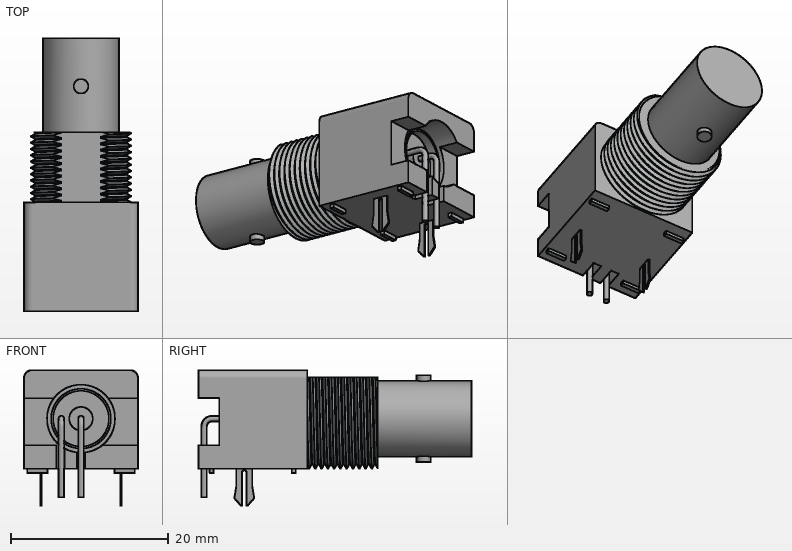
import cadquery as cq


total_length = 34.73
front_y = total_length / 2
rear_y = -total_length / 2

barrel_diameter = 9.7
barrel_length = 11.95
stud_diameter = 1.85
stud_span = 11.05
stud_setback = 6.1

thread_major_diameter = 12.75
thread_minor_diameter = 11.67
thread_pitch = 0.8
thread_base_width = 0.73
thread_crest_width = 0.05
thread_overlap = 0.07
neck_flat_z = 5.28

housing_width = 14.5
housing_length = 13.85
housing_top_z = 6.18
housing_bottom_z = -6.4
housing_edge_radius = 1.05
notch_depth = 2.65
notch_top_z = 2.6
notch_bottom_z = -3.37

cavity_diameter = 8.65
cavity_floor_y = -13.2
sleeve_outer_diameter = 7.6
sleeve_inner_diameter = 7.1
sleeve_end_y = -14.45
insulator_diameter = 3.0
insulator_end_y = -14.03

pin_diameter = 0.73
pin_spacing = 2.5
pin_bend_radius = 1.0
pin_rear_offset = 0.73
pin_bottom_z = -10.0
pin_embed = 0.35

pin_slot_width = 1.1
side_slot_x = -2.6

foot_length_x = 2.6
foot_width_y = 0.55
foot_height = 0.52
foot_center_x = 5.55
foot_rear_offset = 1.65
foot_pitch_y = 10.45
foot_bevel_height = 0.2
foot_bevel_depth = 0.052

lock_x = 5.07
lock_thickness = 0.2
lock_rear_offset = 5.85
lock_stem_width = 2.05
lock_barb_width = 2.5
lock_slot_width = 0.55
lock_tip_width = 0.87
lock_slot_top_z = -6.55
lock_flare_z = -8.55
lock_barb_top_z = -9.95
lock_barb_bottom_z = -10.15
lock_bottom_z = -11.05

neck_front_y = front_y - barrel_length
housing_front_y = rear_y + housing_length
neck_length = neck_front_y - housing_front_y
notch_floor_y = rear_y + notch_depth


def cylinder_along_y(diameter, start_y, end_y):
    """Cylinder on the jack axis between two Y positions."""
    base = cq.Workplane("XZ", origin=(0, start_y, 0))
    return base.circle(diameter / 2).extrude(start_y - end_y)


def box_between(x_range, y_range, z_range):
    """Box spanning the given (low, high) ranges."""
    size = [high - low for low, high in (x_range, y_range, z_range)]
    return cq.Workplane().box(*size, centered=False).translate((x_range[0], y_range[0], z_range[0]))


def make_barrel():
    barrel = cylinder_along_y(barrel_diameter, neck_front_y, front_y)
    studs = (
        cq.Workplane("XY", origin=(0, front_y - stud_setback, 0))
        .circle(stud_diameter / 2)
        .extrude(stud_span / 2, both=True)
    )
    return barrel.union(studs)


def make_thread_ridge():
    """Helical ridge along Y, running one pitch past both ends of the neck."""
    base_radius = thread_minor_diameter / 2 - thread_overlap
    crest_radius = thread_major_diameter / 2
    path = cq.Wire.makeHelix(thread_pitch, neck_length + 2 * thread_pitch, base_radius)
    ridge = (
        cq.Workplane("XZ")
        .moveTo(base_radius, -thread_base_width / 2)
        .lineTo(crest_radius, -thread_crest_width / 2)
        .lineTo(crest_radius, thread_crest_width / 2)
        .lineTo(base_radius, thread_base_width / 2)
        .close()
        .sweep(path, isFrenet=True)
    )
    ridge = ridge.rotate((0, 0, 0), (1, 0, 0), -90)
    return ridge.translate((0, housing_front_y - thread_pitch, 0))


def make_neck():
    """Threaded neck with a flat along its top."""
    core = cylinder_along_y(thread_minor_diameter, housing_front_y, neck_front_y)
    reach = thread_major_diameter
    envelope = box_between((-reach, reach), (housing_front_y, neck_front_y), (-reach, neck_flat_z))
    ridge = make_thread_ridge().intersect(envelope)
    return core.intersect(envelope).union(ridge)


def make_housing():
    half_width = housing_width / 2
    housing = (
        box_between((-half_width, half_width), (rear_y, housing_front_y), (housing_bottom_z, housing_top_z))
        .edges("|Y and >Z")
        .fillet(housing_edge_radius)
    )
    notch = box_between(
        (-half_width, half_width), (rear_y, notch_floor_y), (notch_bottom_z, notch_top_z)
    )
    housing = housing.cut(notch).cut(cylinder_along_y(cavity_diameter, rear_y, cavity_floor_y))
    for slot_x in (side_slot_x, 0):
        slot = box_between(
            (slot_x - pin_slot_width / 2, slot_x + pin_slot_width / 2),
            (rear_y, notch_floor_y),
            (housing_bottom_z, 0),
        )
        housing = housing.cut(slot)
    return housing


def make_cavity_inserts():
    """Thin sleeve and central insulator standing up from the cavity floor."""
    sleeve = cylinder_along_y(sleeve_outer_diameter, sleeve_end_y, cavity_floor_y).cut(
        cylinder_along_y(sleeve_inner_diameter, sleeve_end_y, cavity_floor_y)
    )
    return sleeve.union(cylinder_along_y(insulator_diameter, insulator_end_y, cavity_floor_y))


def make_pin(x):
    """Round pin that leaves the cavity along -Y and turns down to the board."""
    leg_y = rear_y + pin_rear_offset
    start_y = cavity_floor_y + pin_embed
    path = (
        cq.Workplane("YZ", origin=(x, 0, 0))
        .moveTo(start_y, 0)
        .lineTo(leg_y + pin_bend_radius, 0)
        .tangentArcPoint((leg_y, -pin_bend_radius), relative=False)
        .lineTo(leg_y, pin_bottom_z)
    )
    return cq.Workplane("XZ", origin=(x, start_y, 0)).circle(pin_diameter / 2).sweep(path)


def make_foot(x, y):
    """Standoff foot with a slight bevel on the lower half of its rear face."""
    bottom_z = housing_bottom_z - foot_height
    back = y - foot_width_y / 2
    front = y + foot_width_y / 2
    outline = [
        (back, housing_bottom_z),
        (front, housing_bottom_z),
        (front, bottom_z),
        (back + foot_bevel_depth, bottom_z),
        (back, bottom_z + foot_bevel_height),
    ]
    return (
        cq.Workplane("YZ", origin=(x, 0, 0)).polyline(outline).close().extrude(foot_length_x / 2, both=True)
    )


def make_board_lock(x):
    """Flat split tab with barbed, tapered prongs."""
    right_side = [
        (lock_stem_width / 2, housing_bottom_z),
        (lock_stem_width / 2, lock_flare_z),
        (lock_barb_width / 2, lock_barb_top_z),
        (lock_barb_width / 2, lock_barb_bottom_z),
        (lock_tip_width / 2, lock_bottom_z),
    ]
    left_side = [(-y, z) for y, z in reversed(right_side)]
    slot_radius = lock_slot_width / 2
    slot_arc_z = lock_slot_top_z - slot_radius
    plane = cq.Workplane("YZ", origin=(x, rear_y + lock_rear_offset, 0))
    tab = plane.polyline(right_side + left_side).close().extrude(lock_thickness / 2, both=True)
    slot = (
        plane.moveTo(-slot_radius, lock_bottom_z)
        .lineTo(-slot_radius, slot_arc_z)
        .threePointArc((0, lock_slot_top_z), (slot_radius, slot_arc_z))
        .lineTo(slot_radius, lock_bottom_z)
        .close()
        .extrude(lock_thickness, both=True)
    )
    return tab.cut(slot)


result = make_housing().union(make_cavity_inserts())

for pin_x in (-pin_spacing, 0):
    result = result.union(make_pin(pin_x))

for side in (-1, 1):
    result = result.union(make_board_lock(side * lock_x))
    for row in range(2):
        foot_y = rear_y + foot_rear_offset + row * foot_pitch_y
        result = result.union(make_foot(side * foot_center_x, foot_y))

result = result.union(make_neck().union(make_barrel()))